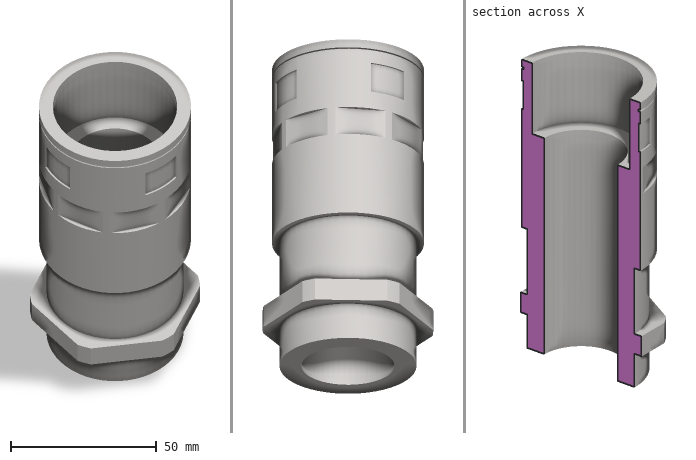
import cadquery as cq
import math

total_height = 111.0
nut_bottom = 12.9
nut_top = 20.8
sleeve_bottom = 46.0

stem_diameter = 47.1
sleeve_diameter = 52.2
bore_diameter = 32.0
socket_diameter = 42.6
socket_depth = 27.3

nut_across_flats = 53.0
nut_turned_diameter = 58.5

groove_top = total_height - 3.0
groove_width = 0.5
groove_depth = 1.0

window_count = 4
window_width = 13.4
window_height = 10.8
window_bottom = 91.9
window_depth = 0.7

flat_count = 8
flat_bottom = 75.5
flat_height = 10.1
flat_half_angle = 19.5

sleeve_radius = sleeve_diameter / 2
flat_distance = sleeve_radius * math.cos(math.radians(flat_half_angle))


def cylinder(diameter, bottom, height):
    """Upright cylinder on the Z axis."""
    return cq.Workplane("XY").workplane(offset=bottom).circle(diameter / 2).extrude(height)


def ring(outer_diameter, inner_diameter, bottom, height):
    """Upright ring on the Z axis."""
    return cylinder(outer_diameter, bottom, height).cut(cylinder(inner_diameter, bottom, height))


def make_nut():
    """Hexagon with corners on the X axis, trimmed by a cylinder."""
    across_corners = nut_across_flats / math.cos(math.radians(30))
    height = nut_top - nut_bottom
    hexagon = cq.Workplane("XY").workplane(offset=nut_bottom).polygon(6, across_corners).extrude(height)
    return hexagon.intersect(cylinder(nut_turned_diameter, nut_bottom, height))


def cut_windows(body):
    """Cut the windows to a curved floor concentric with the sleeve."""
    floor_diameter = sleeve_diameter - 2 * window_depth
    shell = ring(sleeve_diameter, floor_diameter, window_bottom, window_height)
    block = cq.Workplane("XY").box(sleeve_diameter, window_width, window_height, centered=(False, True, False))
    block = block.translate((0, 0, window_bottom))
    window = shell.intersect(block)
    for index in range(window_count):
        body = body.cut(window.rotate((0, 0, 0), (0, 0, 1), index * 360 / window_count))
    return body


def cut_flats(body):
    """Cut the wrench flats, starting half a pitch away from the X axis."""
    pitch = 360 / flat_count
    block = cq.Workplane("XY").box(sleeve_radius, sleeve_diameter, flat_height, centered=(False, True, False))
    block = block.translate((flat_distance, 0, flat_bottom))
    for index in range(flat_count):
        body = body.cut(block.rotate((0, 0, 0), (0, 0, 1), (index + 0.5) * pitch))
    return body


stem = cylinder(stem_diameter, 0, sleeve_bottom)
sleeve = cylinder(sleeve_diameter, sleeve_bottom, total_height - sleeve_bottom)
body = stem.union(make_nut()).union(sleeve)

groove_floor_diameter = sleeve_diameter - 2 * groove_depth
body = body.cut(ring(sleeve_diameter, groove_floor_diameter, groove_top - groove_width, groove_width))
body = cut_windows(body)
body = cut_flats(body)

body = body.cut(cylinder(bore_diameter, 0, total_height))
result = body.cut(cylinder(socket_diameter, total_height - socket_depth, socket_depth))